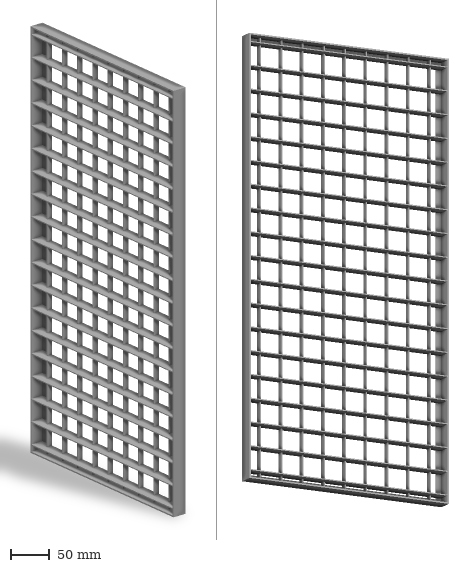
import cadquery as cq

width = 290.0
depth = 20.0
height = 590.0
wall = 2.0
flange_width = 9.0

bar_thickness = 1.5
upright_count = 9
upright_edge_gap = 20.5
shelf_count = 19
shelf_edge_gap = 10.5

inner_width = width - 2 * wall
inner_height = height - 2 * wall
upright_pitch = (width - 2 * upright_edge_gap - bar_thickness) / (upright_count - 1)
shelf_pitch = (height - 2 * shelf_edge_gap - bar_thickness) / (shelf_count - 1)
flange_front = depth / 2 - wall
upright_front = 0.0
shelf_front = -depth / 2


def centred_positions(count, pitch):
    """Evenly spaced positions, symmetric about zero."""
    return [(i - (count - 1) / 2) * pitch for i in range(count)]


def box_between(size_x, y_front, y_back, size_z):
    """Box centred on X and Z that spans the given Y range."""
    box = cq.Workplane("XY").box(size_x, y_back - y_front, size_z)
    return box.translate((0, (y_front + y_back) / 2, 0))


def make_frame():
    """Rim of angle section: outer walls with an inward flange along the back."""
    block = cq.Workplane("XY").box(width, depth, height)
    recess = box_between(inner_width, -depth / 2, flange_front, inner_height)
    opening = cq.Workplane("XY").box(width - 2 * flange_width, depth, height - 2 * flange_width)
    return block.cut(recess).cut(opening)


def make_uprights():
    """Shallow vertical bars resting on the flange."""
    bar = box_between(bar_thickness, upright_front, flange_front, inner_height)
    return [bar.translate((x, 0, 0)) for x in centred_positions(upright_count, upright_pitch)]


def make_shelves():
    """Deep horizontal bars from the flange to the front."""
    bar = box_between(inner_width, shelf_front, flange_front, bar_thickness)
    return [bar.translate((0, 0, z)) for z in centred_positions(shelf_count, shelf_pitch)]


result = make_frame()
for bar in make_uprights() + make_shelves():
    result = result.union(bar)